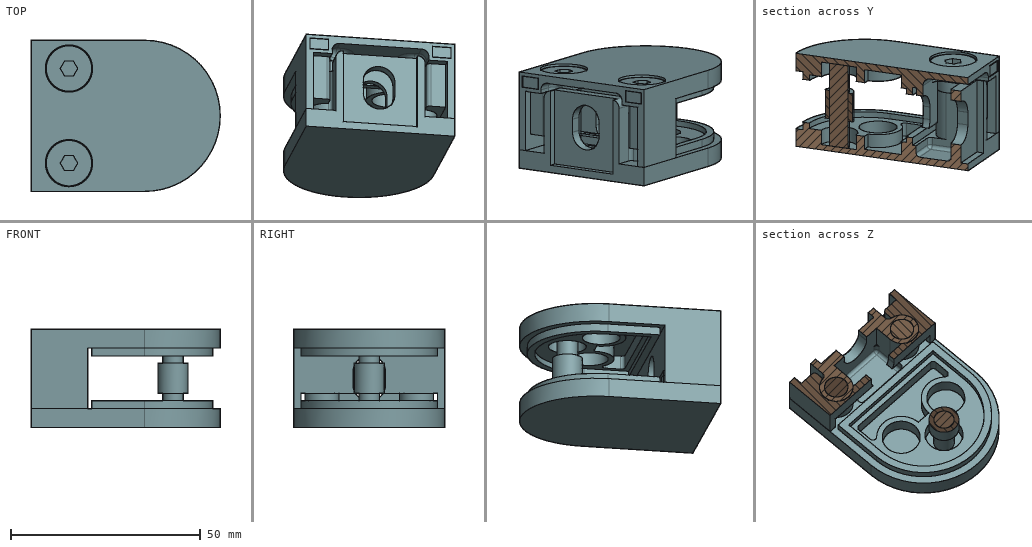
import cadquery as cq
import math

LENGTH = 50.0
WIDTH = 40.0
HEIGHT = 26.0
NOSE_RADIUS = WIDTH / 2
NOSE_X = LENGTH - NOSE_RADIUS
JAW_THICKNESS = 5.0
HOUSING_LENGTH = 15.0
WALL = 2.0
MID_Z = HEIGHT / 2
SIDES = (-1, 1)

PAD_START_X = HOUSING_LENGTH + 1.0
PAD_INSET = 2.0
PAD_HEIGHT = 2.1
RIM_WIDTH = 2.0
RECESS_DEPTH = 1.5

PIN_X = 37.5
PIN_DIAMETER = 5.5
SLEEVE_DIAMETER = 8.0
SLEEVE_LENGTH = 8.0
SOCKET_RADIUS = 5.0
SOCKET_FLOOR_Z = 1.6
SIDE_SOCKET_X = 30.0
SIDE_SOCKET_Y = 8.5
SOCKET_WALL = 1.5
POCKET_INSET = 1.4
POCKET_CORNER = 1.0

SCREW_X = 10.0
SCREW_Y = 12.5
HEAD_RADIUS = 6.0
SHANK_RADIUS = 3.0
HEAD_SINK = 0.6
COUNTERBORE_RADIUS = 6.25
HEX_FLATS = 4.0
HEX_DEPTH = 4.0
HEAD_TOP_Z = HEIGHT - HEAD_SINK
HEAD_HEIGHT = HEAD_RADIUS - SHANK_RADIUS
HEAD_BOTTOM_Z = HEAD_TOP_Z - HEAD_HEIGHT

SLAB_HALF_WIDTH = 12.0
SLAB_TOP_Z = 22.0
SLAB_CORNER = 2.0
SLAB_BACK_X = 5.0
SLAB_RECESS_DEPTH = 2.0
SLAB_RECESS_HALF_WIDTH = 10.0
SLOT_WIDTH = 8.5
SLOT_HEIGHT = 12.0
BOSS_RADIUS = 4.5
BOSS_TOP_Z = 18.0
BOSS_FILLET = 1.0
BOSS_INNER_Y = SCREW_Y - BOSS_RADIUS
FLOOR_FILLET = 1.0

CAVITY_HALF_WIDTH = 13.0
CAVITY_STEP_X = SCREW_X - BOSS_RADIUS
CAVITY_BACK_X = HOUSING_LENGTH - WALL
CAVITY_FILLET = 2.0
SIDE_RECESS_HALF_WIDTH = WIDTH / 2 - WALL
SIDE_RECESS_DEPTH = 2.5
SIDE_RECESS_TOP_Z = HEIGHT - JAW_THICKNESS
SIDE_EDGE_RADIUS = 1.0
CHANNEL_TOP_Z = 9.0

PANEL_Y = 16.5
PANEL_Z = 23.5
PANEL_WIDTH = 5.0
PANEL_HEIGHT = 3.0
PANEL_DEPTH = 0.25


def block(x_range, y_range, z_range):
    """Box between two limits along each axis."""
    size = [high - low for low, high in (x_range, y_range, z_range)]
    corner = (x_range[0], y_range[0], z_range[0])
    return cq.Workplane("XY").box(*size, centered=False).translate(corner)


def cylinder(x, y, radius, bottom_z, top_z):
    return cq.Workplane("XY", origin=(x, y, bottom_z)).circle(radius).extrude(top_z - bottom_z)


def d_shape(start_x, radius, bottom_z, top_z):
    """Plate with a straight end at start_x and a round nose of the given radius."""
    return (
        cq.Workplane("XY", origin=(0, 0, bottom_z))
        .moveTo(start_x, -radius)
        .lineTo(NOSE_X, -radius)
        .threePointArc((NOSE_X + radius, 0), (NOSE_X, radius))
        .lineTo(start_x, radius)
        .close()
        .extrude(top_z - bottom_z)
    )


def jaw_pocket(top_z):
    """Pocket behind the two side sockets, following their round walls."""
    rear_x = PAD_START_X + RIM_WIDTH + POCKET_INSET
    half_width = NOSE_RADIUS - PAD_INSET - RIM_WIDTH - POCKET_INSET
    wall_radius = SOCKET_RADIUS + SOCKET_WALL
    corner_y = half_width - POCKET_CORNER
    reach = wall_radius + POCKET_CORNER
    angle = math.asin((corner_y - SIDE_SOCKET_Y) / reach)
    corner_x = SIDE_SOCKET_X - reach * math.cos(angle)
    touch_x = SIDE_SOCKET_X - wall_radius * math.cos(angle)
    touch_y = SIDE_SOCKET_Y + wall_radius * math.sin(angle)
    middle = (math.pi / 2 - angle) / 2
    arc_x = corner_x + POCKET_CORNER * math.cos(middle)
    arc_y = corner_y + POCKET_CORNER * math.sin(middle)
    wall_x = SIDE_SOCKET_X - wall_radius
    inner_y = SIDE_SOCKET_Y - wall_radius
    pocket = (
        cq.Workplane("XY", origin=(0, 0, WALL))
        .moveTo(rear_x, -half_width)
        .lineTo(corner_x, -half_width)
        .threePointArc((arc_x, -arc_y), (touch_x, -touch_y))
        .threePointArc((wall_x, -SIDE_SOCKET_Y), (SIDE_SOCKET_X, -inner_y))
        .lineTo(SIDE_SOCKET_X, inner_y)
        .threePointArc((wall_x, SIDE_SOCKET_Y), (touch_x, touch_y))
        .threePointArc((arc_x, arc_y), (corner_x, half_width))
        .lineTo(rear_x, half_width)
        .close()
        .extrude(top_z - WALL)
    )
    return pocket.edges("|Z and <X").fillet(POCKET_CORNER)


def jaw():
    """Lower jaw plate with its rimmed pad and the sockets in it."""
    pad_radius = NOSE_RADIUS - PAD_INSET
    pad_top = JAW_THICKNESS + PAD_HEIGHT
    recess_floor = pad_top - RECESS_DEPTH
    plate = d_shape(0, NOSE_RADIUS, 0, JAW_THICKNESS)
    plate = plate.union(d_shape(PAD_START_X, pad_radius, JAW_THICKNESS, pad_top))
    plate = plate.cut(d_shape(PAD_START_X + RIM_WIDTH, pad_radius - RIM_WIDTH, recess_floor, pad_top))
    plate = plate.cut(jaw_pocket(recess_floor))
    for x, y in [(PIN_X, 0), (SIDE_SOCKET_X, SIDE_SOCKET_Y), (SIDE_SOCKET_X, -SIDE_SOCKET_Y)]:
        plate = plate.cut(cylinder(x, y, SOCKET_RADIUS, SOCKET_FLOOR_Z, recess_floor))
    return plate


def pin_slot(start_x, end_x):
    """Upright round-ended slot running along X at mid height."""
    return (
        cq.Workplane("YZ", origin=(start_x, 0, MID_Z))
        .slot2D(SLOT_HEIGHT, SLOT_WIDTH, 90)
        .extrude(end_x - start_x)
    )


def boss(side):
    """Threaded boss, joined to the slab by a flat inner side and a concave outer fillet."""
    round_boss = cylinder(SCREW_X, SCREW_Y, BOSS_RADIUS, JAW_THICKNESS, BOSS_TOP_Z)
    fillet_y = SLAB_HALF_WIDTH + BOSS_FILLET
    reach = BOSS_RADIUS + BOSS_FILLET
    fillet_x = SCREW_X - math.sqrt(reach**2 - (fillet_y - SCREW_Y) ** 2)
    touch_x = SCREW_X + (fillet_x - SCREW_X) * BOSS_RADIUS / reach
    touch_y = SCREW_Y + (fillet_y - SCREW_Y) * BOSS_RADIUS / reach
    half = math.sqrt(0.5) * BOSS_FILLET
    web = (
        cq.Workplane("XY", origin=(0, 0, JAW_THICKNESS))
        .moveTo(fillet_x, BOSS_INNER_Y)
        .lineTo(SCREW_X, BOSS_INNER_Y)
        .lineTo(SCREW_X, touch_y)
        .lineTo(touch_x, touch_y)
        .threePointArc((fillet_x + half, fillet_y - half), (fillet_x, SLAB_HALF_WIDTH))
        .close()
        .extrude(BOSS_TOP_Z - JAW_THICKNESS)
    )
    whole = round_boss.union(web)
    return whole if side > 0 else whole.mirror("XZ")


def slab():
    """Upright slab with rounded top corners."""
    upright = block((0, SLAB_BACK_X), (-SLAB_HALF_WIDTH, SLAB_HALF_WIDTH), (0, SLAB_TOP_Z))
    return upright.edges("|X and >Z").fillet(SLAB_CORNER)


def lower_clamp():
    """Lower jaw with the upright slab and the two threaded bosses."""
    body = jaw().union(slab())
    for side in SIDES:
        body = body.union(boss(side))
    pocket = block(
        (SLAB_BACK_X, HOUSING_LENGTH), (-BOSS_INNER_Y, BOSS_INNER_Y), (WALL, BOSS_TOP_Z)
    )
    body = body.cut(pocket.edges("|Z or <Z").fillet(FLOOR_FILLET))
    half = SLAB_RECESS_HALF_WIDTH
    body = body.cut(block((0, SLAB_RECESS_DEPTH), (-half, half), (WALL, SLAB_TOP_Z)))
    return body.cut(pin_slot(0, SLAB_BACK_X))


def cavity():
    """Stepped hollow of the upper clamp, with rounded corners and ceiling; open at the rear."""
    outside_x = -2 * CAVITY_FILLET
    z_range = (JAW_THICKNESS, HEIGHT - WALL)
    wide = block((outside_x, CAVITY_STEP_X), (-CAVITY_HALF_WIDTH, CAVITY_HALF_WIDTH), z_range)
    deep = block((outside_x, CAVITY_BACK_X), (-BOSS_INNER_Y, BOSS_INNER_Y), z_range)
    hollow = wide.union(deep)
    hollow = hollow.edges("|Z").edges("not <X").fillet(CAVITY_FILLET)
    return hollow.faces(">Z").edges("not <X").fillet(CAVITY_FILLET)


def boss_clearance():
    """Square-cornered lower part of the hollow, which leaves the round screw seats standing."""
    half = CAVITY_HALF_WIDTH
    clearance = block((0, CAVITY_BACK_X), (-half, half), (JAW_THICKNESS, SIDE_RECESS_TOP_Z))
    for side in SIDES:
        seat = cylinder(SCREW_X, side * SCREW_Y, BOSS_RADIUS, BOSS_TOP_Z, SIDE_RECESS_TOP_Z)
        clearance = clearance.cut(seat)
    return clearance


def side_recess(side):
    """Rear recess beside the cavity, with a rounded edge where its back turns into the cavity."""
    round_x = SIDE_RECESS_DEPTH + SIDE_EDGE_RADIUS
    round_y = CAVITY_HALF_WIDTH + SIDE_EDGE_RADIUS
    half = math.sqrt(0.5) * SIDE_EDGE_RADIUS
    recess = (
        cq.Workplane("XY", origin=(0, 0, JAW_THICKNESS))
        .moveTo(0, CAVITY_HALF_WIDTH)
        .lineTo(round_x, CAVITY_HALF_WIDTH)
        .threePointArc((round_x - half, round_y - half), (SIDE_RECESS_DEPTH, round_y))
        .lineTo(SIDE_RECESS_DEPTH, SIDE_RECESS_HALF_WIDTH)
        .lineTo(0, SIDE_RECESS_HALF_WIDTH)
        .close()
        .extrude(SIDE_RECESS_TOP_Z - JAW_THICKNESS)
    )
    return recess if side > 0 else recess.mirror("XZ")


def label_panel(side):
    panel_y = (side * PANEL_Y - PANEL_WIDTH / 2, side * PANEL_Y + PANEL_WIDTH / 2)
    panel_z = (PANEL_Z - PANEL_HEIGHT / 2, PANEL_Z + PANEL_HEIGHT / 2)
    return block((0, PANEL_DEPTH), panel_y, panel_z)


def upper_clamp():
    """Upper jaw with the hollow housing that encloses the slab and bosses."""
    body = jaw().mirror("XY", (0, 0, MID_Z))
    half = WIDTH / 2
    body = body.union(block((0, HOUSING_LENGTH), (-half, half), (JAW_THICKNESS, HEIGHT)))
    body = body.cut(cavity())
    body = body.cut(boss_clearance())
    for side in SIDES:
        body = body.cut(side_recess(side))
    recess = SIDE_RECESS_HALF_WIDTH
    body = body.cut(block((0, HOUSING_LENGTH), (-recess, recess), (JAW_THICKNESS, CHANNEL_TOP_Z)))
    body = body.cut(pin_slot(CAVITY_BACK_X, HOUSING_LENGTH))
    for side in SIDES:
        body = body.cut(boss(side))
        body = body.cut(cylinder(SCREW_X, side * SCREW_Y, COUNTERBORE_RADIUS, HEAD_TOP_Z, HEIGHT))
        body = body.cut(label_panel(side))
    return body


def screw_blank(side):
    """Countersunk screw without its hexagon, also used to cut its own hole."""
    profile = [
        (0, JAW_THICKNESS),
        (SHANK_RADIUS, JAW_THICKNESS),
        (SHANK_RADIUS, HEAD_BOTTOM_Z),
        (HEAD_RADIUS, HEAD_TOP_Z),
        (0, HEAD_TOP_Z),
    ]
    blank = cq.Workplane("XZ").polyline(profile).close().revolve(360, (0, 0), (0, 1))
    return blank.translate((SCREW_X, side * SCREW_Y, 0))


def screw(side):
    hexagon = (
        cq.Workplane("XY", origin=(SCREW_X, side * SCREW_Y, HEAD_TOP_Z - HEX_DEPTH))
        .polygon(6, HEX_FLATS / math.cos(math.pi / 6))
        .extrude(HEX_DEPTH)
    )
    return screw_blank(side).cut(hexagon)


def pin():
    """Plain round pin standing between the floors of the two front sockets."""
    return cylinder(PIN_X, 0, PIN_DIAMETER / 2, SOCKET_FLOOR_Z, HEIGHT - SOCKET_FLOOR_Z)


def sleeve():
    """Tube around the middle of the pin."""
    low_z = MID_Z - SLEEVE_LENGTH / 2
    high_z = MID_Z + SLEEVE_LENGTH / 2
    tube = cylinder(PIN_X, 0, SLEEVE_DIAMETER / 2, low_z, high_z)
    return tube.cut(pin())


lower = lower_clamp()
upper = upper_clamp()
screws = []
for side in SIDES:
    lower = lower.cut(screw_blank(side))
    upper = upper.cut(screw_blank(side))
    screws.append(screw(side).val())

result = cq.Compound.makeCompound([lower.val(), upper.val(), *screws, pin().val(), sleeve().val()])